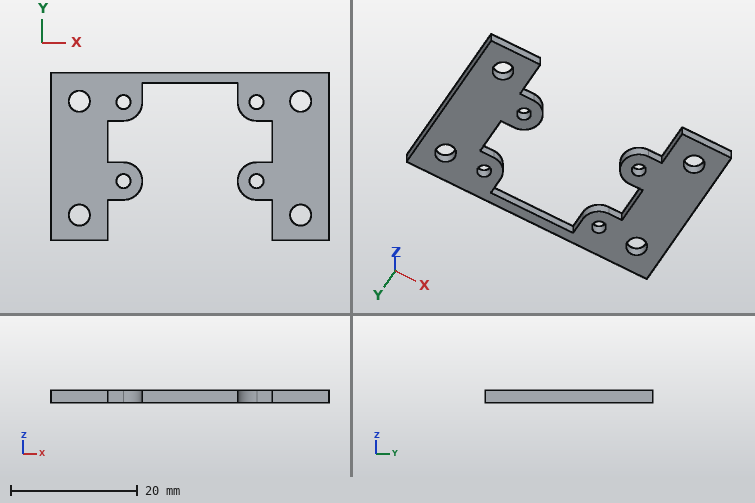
import cadquery as cq

width = 44.0
depth = 26.55
thickness = 2.0
back_y = depth / 2

leg_width = 9.0
bar_depth = 1.65
opening_width = width - 2 * leg_width
opening_depth = depth - bar_depth

lug_radius = 3.0
lug_hole_diameter = 2.2
lug_x = 10.5
back_lug_y = back_y - 4.65
front_lug_y = back_lug_y - 12.5

mount_hole_diameter = 3.3
mount_spacing_x = 35.0
mount_spacing_y = 18.0
mount_back_y = back_y - 4.55
mount_center_y = mount_back_y - mount_spacing_y / 2


def box_between(x_start, x_end, y_start, y_end):
    """Full-thickness block spanning the given X and Y limits."""
    return (
        cq.Workplane("XY")
        .moveTo(x_start, y_start)
        .lineTo(x_end, y_start)
        .lineTo(x_end, y_end)
        .lineTo(x_start, y_end)
        .close()
        .extrude(thickness)
    )


def make_lug(side, center_y, block_end_y):
    """Round end at the lug hole, joined to the leg; side is -1 or 1."""
    center_x = side * lug_x
    round_end = cq.Workplane("XY").center(center_x, center_y).circle(lug_radius).extrude(thickness)
    leg_middle_x = side * (width - leg_width) / 2
    neck = box_between(center_x, leg_middle_x, center_y - lug_radius, block_end_y)
    return round_end.union(neck)


def make_back_lug(side):
    """Lug whose straight inner edge runs back into the rear bar."""
    inner_x = side * (lug_x - lug_radius)
    web = box_between(inner_x, side * opening_width / 2, back_lug_y, back_y)
    return make_lug(side, back_lug_y, back_y).union(web)


plate = cq.Workplane("XY").box(width, depth, thickness, centered=(True, True, False))
opening = box_between(-opening_width / 2, opening_width / 2, -back_y, -back_y + opening_depth)
frame = plate.cut(opening)

for side in (-1, 1):
    frame = frame.union(make_back_lug(side))
    frame = frame.union(make_lug(side, front_lug_y, front_lug_y + lug_radius))

lug_holes = (
    cq.Workplane("XY")
    .pushPoints([(side * lug_x, y) for side in (-1, 1) for y in (back_lug_y, front_lug_y)])
    .circle(lug_hole_diameter / 2)
    .extrude(thickness)
)
mount_holes = (
    cq.Workplane("XY")
    .center(0, mount_center_y)
    .rarray(mount_spacing_x, mount_spacing_y, 2, 2)
    .circle(mount_hole_diameter / 2)
    .extrude(thickness)
)

result = frame.cut(lug_holes).cut(mount_holes).clean()